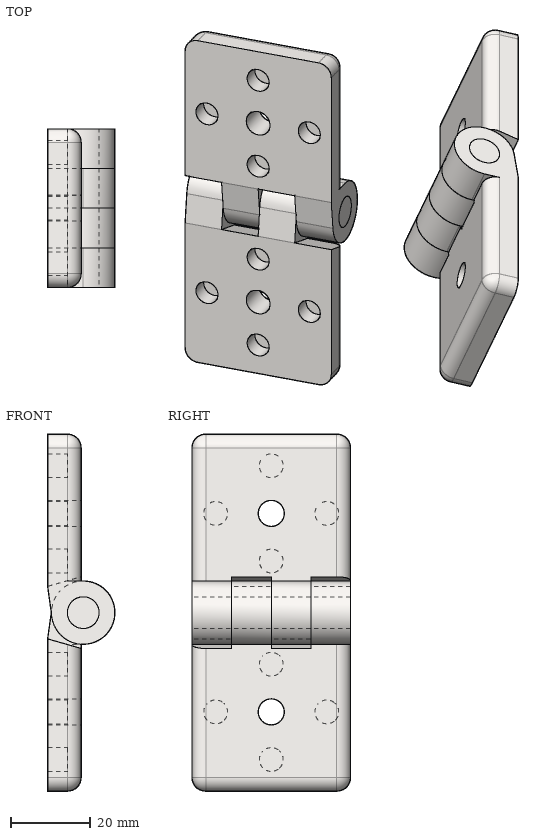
import cadquery as cq
import math


width = 40.0
height_open = 90.0
leaf_reach = height_open / 2
plate_thickness = 8.5
edge_radius = 3.5

knuckle_count = 4
knuckle_width = width / knuckle_count
knuckle_radius = 8.0
axis_x = 9.0
pin_diameter = 8.0
shoulder_x = plate_thickness - edge_radius

relief_start_z = 6.6
relief_angle = 16.0

hole_centre_z = 25.0
through_hole_diameter = 6.5
blind_hole_diameter = 6.0
blind_hole_depth = 5.0
blind_offset_y = 14.0
blind_offset_z = 12.0


def circle_point(angle):
    """Point (x, z) on the knuckle circle, angle in radians from +X towards +Z."""
    return axis_x + knuckle_radius * math.cos(angle), knuckle_radius * math.sin(angle)


def extrude_along_y(sketch, y_start, length):
    """Extrude a closed XZ outline from y_start towards +Y."""
    return sketch.extrude(-length).translate((0, y_start, 0))


def make_plate():
    plate_height = leaf_reach - knuckle_radius
    plate = cq.Workplane("XY").box(
        plate_thickness, width, plate_height, centered=(False, True, False)
    )
    plate = plate.translate((0, 0, knuckle_radius))
    plate = plate.edges("|X and >Z").fillet(edge_radius)
    rim = plate.faces(">X").edges("not(<Z)")
    return rim.fillet(edge_radius)


def make_square_strip():
    """Square-edged strip that carries the plate on to the start of the reliefs."""
    strip = cq.Workplane("XY").box(
        shoulder_x, width, knuckle_radius - relief_start_z, centered=(False, True, False)
    )
    return strip.translate((0, 0, relief_start_z))


def make_knuckle(y_start):
    """Barrel with a flat shoulder above and a flank tangent to it from the mounting face."""
    start_distance = math.hypot(axis_x, relief_start_z)
    start_angle = math.atan2(relief_start_z, -axis_x)
    tangent_angle = start_angle + math.acos(knuckle_radius / start_distance)
    bottom_angle = -math.pi / 2
    outline = (
        cq.Workplane("XZ")
        .moveTo(0, relief_start_z)
        .lineTo(0, knuckle_radius)
        .lineTo(axis_x, knuckle_radius)
        .threePointArc(circle_point(bottom_angle), circle_point(tangent_angle))
        .close()
    )
    return extrude_along_y(outline, y_start, knuckle_width)


def make_relief(y_start):
    """Sloping cut across the end of the plate."""
    end_z = relief_start_z + plate_thickness * math.tan(math.radians(relief_angle))
    outline = cq.Workplane("XZ").polyline(
        [(0, 0), (0, relief_start_z), (plate_thickness, end_z), (plate_thickness, 0)]
    ).close()
    return extrude_along_y(outline, y_start, knuckle_width)


def make_holes():
    centre = cq.Workplane("YZ").center(0, hole_centre_z)
    through_hole = centre.circle(through_hole_diameter / 2).extrude(plate_thickness)
    blind_positions = [
        (blind_offset_y, 0),
        (-blind_offset_y, 0),
        (0, blind_offset_z),
        (0, -blind_offset_z),
    ]
    blind_holes = (
        centre.pushPoints(blind_positions)
        .circle(blind_hole_diameter / 2)
        .extrude(blind_hole_depth)
    )
    return through_hole.union(blind_holes)


def make_pin():
    outline = cq.Workplane("XZ").center(axis_x, 0).circle(pin_diameter / 2)
    return extrude_along_y(outline, -width / 2, width)


def make_leaf():
    """Leaf on the +Z side, with knuckles in every second place from the -Y end."""
    leaf = make_plate().union(make_square_strip())
    for place in range(knuckle_count):
        y_start = -width / 2 + place * knuckle_width
        if place % 2 == 0:
            leaf = leaf.union(make_knuckle(y_start))
        else:
            leaf = leaf.cut(make_relief(y_start))
    return leaf.cut(make_holes()).cut(make_pin())


leaves = [make_leaf().rotate((0, 0, 0), (1, 0, 0), turn) for turn in (0, 180)]
pin = make_pin()

result = cq.Compound.makeCompound([*[leaf.val() for leaf in leaves], pin.val()])